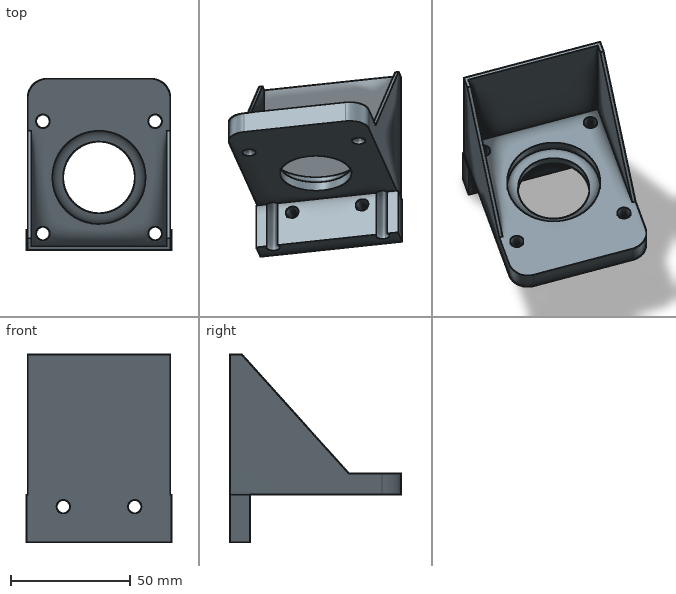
import cadquery as cq

plate_width = 60.0
plate_depth = 72.0
plate_thickness = 9.0
corner_radius = 8.2

bore_center_y = 30.5
bore_diameter = 30.0
recess_diameter = 39.2
recess_depth = 5.0
motor_hole_spacing = 47.14
motor_hole_diameter = 5.6

shell_height = 50.0
shell_depth = 50.0
shell_top_depth = 5.0
wall_thickness = 1.5

flange_width = 61.0
flange_thickness = 8.5
flange_height = 20.0
flange_hole_spacing = 30.0
flange_hole_diameter = 5.5
flange_hole_drop = 5.0


def make_plate():
    plate = cq.Workplane("XY").box(plate_width, plate_depth, plate_thickness, centered=(True, False, False))
    return plate.edges("|Z and >Y").fillet(corner_radius)


def make_shell():
    """Sloped-side block, hollowed from behind to leave the front wall and the two gussets."""
    profile = [
        (0, 0),
        (shell_depth, 0),
        (shell_top_depth, shell_height),
        (0, shell_height),
    ]
    block = cq.Workplane("YZ").polyline(profile).close().extrude(plate_width / 2, both=True)
    hollow = (
        cq.Workplane("XY")
        .box(plate_width - 2 * wall_thickness, shell_depth, shell_height, centered=(True, False, False))
        .translate((0, wall_thickness, 0))
    )
    return block.cut(hollow).translate((0, 0, plate_thickness))


def make_flange():
    return (
        cq.Workplane("XY")
        .box(flange_width, flange_thickness, flange_height, centered=(True, False, False))
        .translate((0, 0, -flange_height))
    )


def cut_motor_openings(body):
    bore = cq.Workplane("XY").center(0, bore_center_y).circle(bore_diameter / 2).extrude(plate_thickness)
    recess = (
        cq.Workplane("XY", origin=(0, 0, plate_thickness - recess_depth))
        .center(0, bore_center_y)
        .circle(recess_diameter / 2)
        .extrude(recess_depth)
    )
    screw_holes = (
        cq.Workplane("XY", origin=(0, bore_center_y, -flange_height))
        .rect(motor_hole_spacing, motor_hole_spacing, forConstruction=True)
        .vertices()
        .circle(motor_hole_diameter / 2)
        .extrude(flange_height + plate_thickness)
    )
    return body.cut(bore).cut(recess).cut(screw_holes)


def cut_flange_holes(body):
    half_spacing = flange_hole_spacing / 2
    holes = (
        cq.Workplane("XZ", origin=(0, 0, -flange_hole_drop))
        .pushPoints([(-half_spacing, 0), (half_spacing, 0)])
        .circle(flange_hole_diameter / 2)
        .extrude(-flange_thickness)
    )
    return body.cut(holes)


body = make_plate().union(make_shell()).union(make_flange())
result = cut_flange_holes(cut_motor_openings(body))